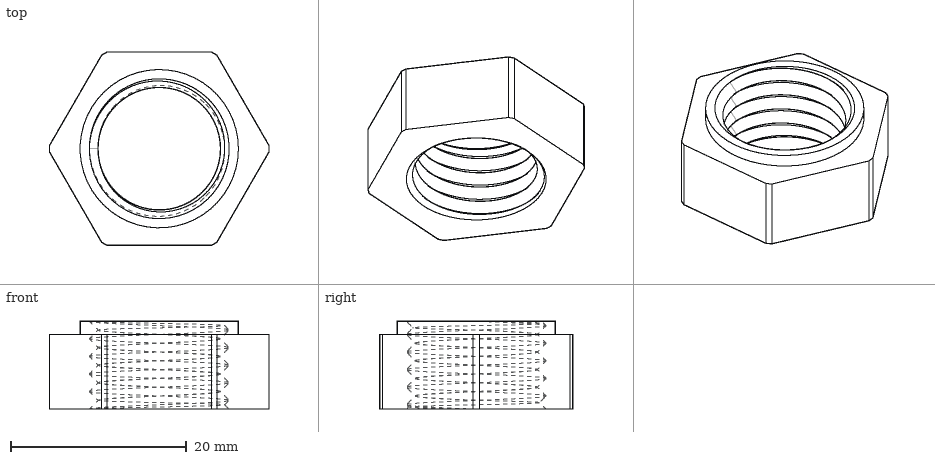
import cadquery as cq
import math

across_flats = 22.0
across_corners = 25.0
total_height = 10.0
collar_diameter = 18.0
collar_height = 1.5
body_height = total_height - collar_height

root_radius = 15.9 / 2
bore_radius = 13.9 / 2
pitch = 2.0
crest_width = 0.02
groove_half_width = (pitch - crest_width) / 2
flank_slope = groove_half_width / (root_radius - bore_radius)

groove_start_angle = 180.0

cutter_overlap = 0.1
cutter_radius = bore_radius - cutter_overlap

turn_count = math.ceil(total_height / pitch) + 2

lead_in_depth = groove_half_width


def turn_to_groove_start(solid):
    return solid.rotate((0, 0, 0), (0, 0, 1), groove_start_angle)


def make_body():
    hexagon_diameter = across_flats / math.cos(math.pi / 6)
    hexagon = cq.Workplane("XY").polygon(6, hexagon_diameter).extrude(body_height)
    rounded_corners = cq.Workplane("XY").circle(across_corners / 2).extrude(body_height)
    collar = cq.Workplane("XY").circle(collar_diameter / 2).extrude(total_height)
    return hexagon.intersect(rounded_corners).union(collar)


def make_bore():
    half_section = [
        (0, 0),
        (root_radius, 0),
        (bore_radius, lead_in_depth),
        (bore_radius, total_height - lead_in_depth),
        (root_radius, total_height),
        (0, total_height),
    ]
    bore = cq.Workplane("XZ").polyline(half_section).close().revolve(360, (0, 0), (0, 1))
    return turn_to_groove_start(bore)


def make_groove_turn():
    """One full turn of the groove, with its root starting at height zero."""
    half_mouth = flank_slope * (root_radius - cutter_radius)
    triangle = [
        (cutter_radius, -half_mouth),
        (root_radius, 0),
        (cutter_radius, half_mouth),
    ]
    helix = cq.Workplane(obj=cq.Wire.makeHelix(pitch, pitch, root_radius))
    turn = cq.Workplane("XZ").polyline(triangle).close().sweep(helix, isFrenet=True)
    return turn_to_groove_start(turn)


def cut_thread(nut):
    groove_turn = make_groove_turn()
    for index in range(turn_count):
        start_height = total_height - index * pitch
        nut = nut.cut(groove_turn.translate((0, 0, start_height)))
    return nut


result = cut_thread(make_body().cut(make_bore()))